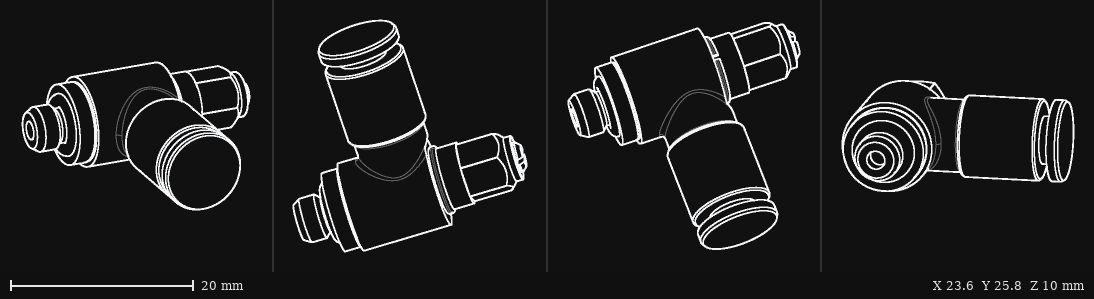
import cadquery as cq
import math

BARREL_R = 5.0
BARREL_TOP = 3.45
BARREL_LENGTH = 9.98
BARREL_BOTTOM = BARREL_TOP - BARREL_LENGTH
STEM_R = 3.48

NECK_R = 4.0
NECK_END = 7.07
SLEEVE_R = 4.5
SLEEVE_START = 7.64
SLEEVE_END = 16.0
SLEEVE_CHAMFER = 0.2
FLARE_RADIUS = 0.34
END_CONE_LENGTH = 0.15
RING_NECK_R = 2.63
RING_START = 17.35
BRANCH_END = 18.6
RING_CHAMFER_LENGTH = 0.34
RING_CHAMFER_DEPTH = 0.18
ROOT_FILLET = 0.5
RELIEF_BASE_R = 5.2
RELIEF_TOP_R = 5.47
RELIEF_HEIGHT = 0.55
RELIEF_CLEARANCE = 1.03

TIP_END = -12.55
TIP_END_R = 2.0
TIP_CHAMFER_LENGTH = 0.8
THREAD_R = 2.5
THREAD_TOP = -10.04
THREAD_NECK_R = 1.94
THREAD_NECK_BOTTOM = THREAD_TOP + THREAD_R - THREAD_NECK_R
SEAL_R = 0.77
SEAL_CENTRE_R = STEM_R - SEAL_R
SEAL_Y = -8.5
FLANGE_R = 4.5
FLANGE_BOTTOM = -8.55
FLANGE_TOP = -6.73
FLANGE_SHOULDER_R = 4.45
TIP_BORE_R = 1.0
TIP_BORE_DEPTH = 2.0

CLIP_TOP = 4.3
CLIP_R = 3.85
CLIP_ROUND = 0.34
CLIP_GAP = 0.52
HEX_FLATS = 6.0
HEX_CORNER_R = 3.45
HEX_BOTTOM = 6.58
COLLAR_R = THREAD_R
COLLAR_BOTTOM = 11.75
COLLAR_TOP = 12.55
COLLAR_CHAMFER = 0.08
SCREW_R = 1.7
SCREW_CHAMFER_START = 12.75
SCREW_TOP = 13.25
SCREW_TOP_R = 1.2
SLOT_WIDTH = 0.6


def y_cylinder(radius, start, end):
    """Cylinder on the Y axis between two Y positions."""
    return cq.Workplane("XZ", origin=(0, start, 0)).circle(radius).extrude(start - end)


def revolve_y(points):
    """Turn a closed (radius, y) outline about the Y axis."""
    return cq.Workplane("XY").polyline(points).close().revolve(360, (0, 0), (0, 1))


def make_branch():
    """Neck, sleeve and release ring, turned about the X axis."""
    flare_x = NECK_END + FLARE_RADIUS
    flare_r = NECK_R + FLARE_RADIUS
    diagonal = FLARE_RADIUS * math.sqrt(0.5)
    return (
        cq.Workplane("XY")
        .moveTo(0, 0)
        .lineTo(0, NECK_R)
        .lineTo(NECK_END, NECK_R)
        .threePointArc((NECK_END + diagonal, flare_r - diagonal), (flare_x, flare_r))
        .lineTo(SLEEVE_START, SLEEVE_R)
        .lineTo(SLEEVE_END - SLEEVE_CHAMFER, SLEEVE_R)
        .lineTo(SLEEVE_END, SLEEVE_R - SLEEVE_CHAMFER)
        .lineTo(SLEEVE_END + END_CONE_LENGTH, RING_NECK_R)
        .lineTo(RING_START, RING_NECK_R)
        .lineTo(RING_START, SLEEVE_R)
        .lineTo(BRANCH_END - RING_CHAMFER_LENGTH, SLEEVE_R)
        .lineTo(BRANCH_END, SLEEVE_R - RING_CHAMFER_DEPTH)
        .lineTo(BRANCH_END, 0)
        .close()
        .revolve(360, (0, 0), (1, 0))
    )


def make_housing():
    """Barrel with a filleted side branch and a through bore for the stem."""
    barrel_extension = BARREL_TOP + RELIEF_HEIGHT + RELIEF_CLEARANCE
    body = y_cylinder(BARREL_R, BARREL_BOTTOM, barrel_extension).union(make_branch())
    body = body.edges("(not %CIRCLE) and (not %LINE)").fillet(ROOT_FILLET)

    relief_top = BARREL_TOP + RELIEF_HEIGHT
    relief = revolve_y([
        (0, BARREL_TOP),
        (RELIEF_BASE_R, BARREL_TOP),
        (RELIEF_TOP_R, relief_top),
        (RELIEF_TOP_R, barrel_extension),
        (0, barrel_extension),
    ])
    return body.cut(relief).cut(y_cylinder(STEM_R, BARREL_BOTTOM, BARREL_TOP))


def make_clip():
    """Retaining clip on the barrel's top face, with a gap facing +Z."""
    ring = y_cylinder(CLIP_R, BARREL_TOP, CLIP_TOP).edges().fillet(CLIP_ROUND)
    clip_height = CLIP_TOP - BARREL_TOP
    gap = cq.Workplane("XY").box(CLIP_GAP, clip_height, CLIP_R, centered=(True, False, False))
    return ring.cut(gap.translate((0, BARREL_TOP, 0)))


def make_hexagon():
    """Hexagon whose top corners are turned to a 45 degree cone."""
    corner_diameter = HEX_FLATS / math.cos(math.pi / 6)
    prism = (
        cq.Workplane("XZ", origin=(0, HEX_BOTTOM, 0))
        .polygon(6, corner_diameter)
        .extrude(HEX_BOTTOM - COLLAR_BOTTOM)
    )
    envelope = revolve_y([
        (0, HEX_BOTTOM),
        (HEX_CORNER_R, HEX_BOTTOM),
        (HEX_CORNER_R, COLLAR_BOTTOM - (HEX_CORNER_R - COLLAR_R)),
        (COLLAR_R, COLLAR_BOTTOM),
        (0, COLLAR_BOTTOM),
    ])
    return prism.intersect(envelope)


def make_screw():
    """Collar and the slotted, chamfered end of the adjusting screw."""
    head = revolve_y([
        (0, COLLAR_BOTTOM),
        (COLLAR_R, COLLAR_BOTTOM),
        (COLLAR_R, COLLAR_TOP - COLLAR_CHAMFER),
        (COLLAR_R - COLLAR_CHAMFER, COLLAR_TOP),
        (SCREW_R, COLLAR_TOP),
        (SCREW_R, SCREW_CHAMFER_START),
        (SCREW_TOP_R, SCREW_TOP),
        (0, SCREW_TOP),
    ])
    slot_depth = SCREW_TOP - COLLAR_TOP
    slot = cq.Workplane("XY").box(SLOT_WIDTH, slot_depth, 2 * SCREW_R, centered=(True, False, True))
    return head.cut(slot.translate((0, COLLAR_TOP, 0)))


def make_seal():
    """Rounded seal seated in the underside of the flange."""
    return (
        cq.Workplane("XY")
        .center(SEAL_CENTRE_R, SEAL_Y)
        .circle(SEAL_R)
        .revolve(360, (-SEAL_CENTRE_R, 0), (-SEAL_CENTRE_R, 1))
    )


def make_stem():
    """Threaded tip, flange, shaft, clip, hexagon and screw as one solid."""
    shaft = revolve_y([
        (0, TIP_END),
        (TIP_END_R, TIP_END),
        (THREAD_R, TIP_END + TIP_CHAMFER_LENGTH),
        (THREAD_R, THREAD_TOP),
        (THREAD_NECK_R, THREAD_NECK_BOTTOM),
        (THREAD_NECK_R, FLANGE_BOTTOM),
        (FLANGE_R, FLANGE_BOTTOM),
        (FLANGE_R, FLANGE_TOP),
        (FLANGE_SHOULDER_R, FLANGE_TOP),
        (FLANGE_SHOULDER_R, BARREL_BOTTOM),
        (STEM_R, BARREL_BOTTOM),
        (STEM_R, HEX_BOTTOM),
        (0, HEX_BOTTOM),
    ])
    tip_bore = y_cylinder(TIP_BORE_R, TIP_END, TIP_END + TIP_BORE_DEPTH)
    stem = shaft.union(make_seal()).union(make_clip())
    return stem.union(make_hexagon()).union(make_screw()).cut(tip_bore)


housing = make_housing()
stem = make_stem()
result = cq.Compound.makeCompound([housing.val(), stem.val()])